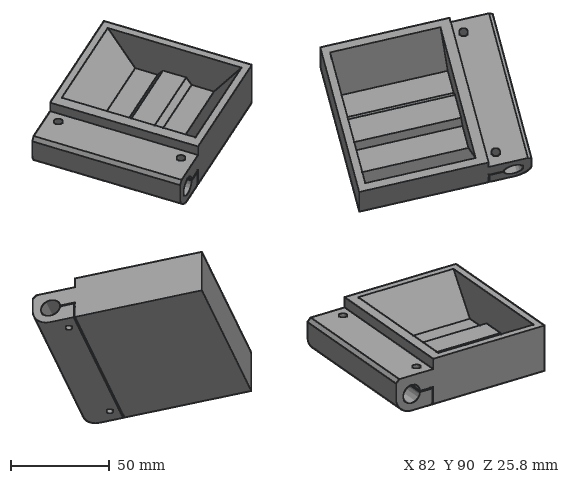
import cadquery as cq

width = 82.0
length = 90.0
height = 25.8

clamp_length = 22.5
clamp_height = 20.0
edge_chamfer = 2.0
corner_radius = 9.45
bore_diameter = 10.2
slit_width = 0.7

side_wall = 4.0
back_wall = 4.1
tray_front = 28.3
floor_thickness = 4.0
slope_run = 15.2
rib_height = 4.0
rib_base_width = 18.8
rib_top_width = 12.9

screw_inset = 7.0
screw_y = 17.0
clearance_diameter = 4.5
pilot_diameter = 3.4

bore_y = corner_radius
bore_z = corner_radius
slit_bottom = bore_z - slit_width / 2
slit_top = bore_z + slit_width / 2


def make_body():
    """Block with a lower, rounded clamp along its front edge."""
    body = cq.Workplane("XY").box(width, length, height, centered=False)
    step = (
        cq.Workplane("XY", origin=(0, 0, clamp_height))
        .box(width, clamp_length, height - clamp_height, centered=False)
    )
    body = body.cut(step)
    body = body.faces("<Y").edges(">Z").chamfer(edge_chamfer)
    return body.faces("<Y").edges("<Z").fillet(corner_radius)


def make_tray():
    """Pocket with sloping sides and a trapezoidal rib along its floor."""
    centre = width / 2
    rib_top = floor_thickness + rib_height
    half_outline = [
        (centre - side_wall, height),
        (centre - side_wall - slope_run, floor_thickness),
        (rib_base_width / 2, floor_thickness),
        (rib_top_width / 2, rib_top),
    ]
    left = [(centre - x, z) for x, z in half_outline]
    right = [(centre + x, z) for x, z in reversed(half_outline)]
    return (
        cq.Workplane("XZ", origin=(0, tray_front, 0))
        .polyline(left + right)
        .close()
        .extrude(-(length - back_wall - tray_front))
    )


def make_bore_and_slit():
    """Rod bore with an L-shaped slit that frees the lower jaw."""
    bore = (
        cq.Workplane("YZ")
        .center(bore_y, bore_z)
        .circle(bore_diameter / 2)
        .extrude(width)
    )
    slit = (
        cq.Workplane("YZ")
        .moveTo(bore_y, slit_top)
        .lineTo(clamp_length, slit_top)
        .lineTo(clamp_length, 0)
        .lineTo(clamp_length - slit_width, 0)
        .lineTo(clamp_length - slit_width, slit_bottom)
        .lineTo(bore_y, slit_bottom)
        .close()
        .extrude(width)
    )
    return bore.union(slit)


def make_screw_hole(x):
    """Clearance hole down to the slit, then a pilot hole through the jaw."""
    pilot = (
        cq.Workplane("XY", origin=(x, screw_y, 0))
        .circle(pilot_diameter / 2)
        .extrude(clamp_height)
    )
    clearance = (
        cq.Workplane("XY", origin=(x, screw_y, slit_bottom))
        .circle(clearance_diameter / 2)
        .extrude(clamp_height - slit_bottom)
    )
    return pilot.union(clearance)


result = make_body().cut(make_tray()).cut(make_bore_and_slit())
for screw_x in (screw_inset, width - screw_inset):
    result = result.cut(make_screw_hole(screw_x))